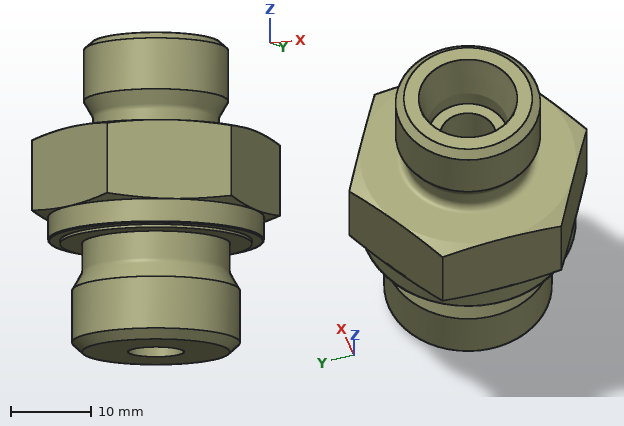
import cadquery as cq
import math

total_height = 39.0
flange_bottom = 14.0
hex_bottom = 17.0
hex_top = 27.0

hex_width = 27.0
flange_diameter = 26.9
flange_edge_chamfer = 0.15
hex_chamfer_angle = 15.0

stud_diameter = 20.95
stud_neck_diameter = 18.4
stud_chamfer_width = 1.3
stud_chamfer_height = 1.17
stud_shoulder_height = 7.72

spigot_diameter = 18.0
spigot_neck_diameter = 15.7
spigot_chamfer_width = 1.0
spigot_chamfer_height = 0.9
spigot_shoulder_height = 31.65

undercut_angle = 30.0
spigot_undercut_radius = 1.0
stud_undercut_radius = 1.17

bore_diameter = 7.0
seat_mouth_diameter = 12.3
seat_floor_diameter = 10.0
seat_half_angle = 12.0
seat_total_depth = 7.5

groove_diameter = 24.0
seal_outer_diameter = 23.9
seal_inner_diameter = 18.5
seal_thickness = 1.5
seal_projection = 0.35
seal_bottom = flange_bottom - seal_projection
seal_top = seal_bottom + seal_thickness


def cylinder(diameter, bottom, top):
    return cq.Workplane("XY").workplane(offset=bottom).circle(diameter / 2).extrude(top - bottom)


def revolve_profile(outline):
    """Turn a closed outline in the XZ plane around the Z axis."""
    return outline.close().revolve(360, (0, 0, 0), (0, 1, 0))


def undercut_points(neck_radius, thread_radius, shoulder_height, toward_neck, undercut_radius):
    """Ends and middle of the arc blending the shoulder cone into the neck, from cone to neck."""
    angle = math.radians(undercut_angle)
    cone_end_radius = neck_radius + undercut_radius * (1 - math.cos(angle))
    cone_height = (thread_radius - cone_end_radius) / math.tan(angle)
    cone_end = shoulder_height + toward_neck * cone_height
    neck_start = cone_end + toward_neck * undercut_radius * math.sin(angle)
    middle_radius = neck_radius + undercut_radius * (1 - math.cos(angle / 2))
    middle_height = neck_start - toward_neck * undercut_radius * math.sin(angle / 2)
    return (cone_end_radius, cone_end), (middle_radius, middle_height), (neck_radius, neck_start)


def make_stud():
    radius = stud_diameter / 2
    neck_radius = stud_neck_diameter / 2
    cone_end, arc_middle, neck_start = undercut_points(
        neck_radius, radius, stud_shoulder_height, 1, stud_undercut_radius
    )
    return revolve_profile(
        cq.Workplane("XZ")
        .moveTo(0, 0)
        .lineTo(radius - stud_chamfer_width, 0)
        .lineTo(radius, stud_chamfer_height)
        .lineTo(radius, stud_shoulder_height)
        .lineTo(*cone_end)
        .threePointArc(arc_middle, neck_start)
        .lineTo(neck_radius, hex_bottom)
        .lineTo(0, hex_bottom)
    )


def make_spigot():
    radius = spigot_diameter / 2
    neck_radius = spigot_neck_diameter / 2
    cone_end, arc_middle, neck_start = undercut_points(
        neck_radius, radius, spigot_shoulder_height, -1, spigot_undercut_radius
    )
    root_arc_offset = spigot_undercut_radius * (1 - math.sqrt(0.5))
    return revolve_profile(
        cq.Workplane("XZ")
        .moveTo(0, total_height)
        .lineTo(radius - spigot_chamfer_width, total_height)
        .lineTo(radius, total_height - spigot_chamfer_height)
        .lineTo(radius, spigot_shoulder_height)
        .lineTo(*cone_end)
        .threePointArc(arc_middle, neck_start)
        .lineTo(neck_radius, hex_top + spigot_undercut_radius)
        .threePointArc(
            (neck_radius + root_arc_offset, hex_top + root_arc_offset),
            (neck_radius + spigot_undercut_radius, hex_top),
        )
        .lineTo(0, hex_top)
    )


def make_hexagon():
    """Hexagon with flats facing X and conical chamfers on its corners at both ends."""
    corner_radius = hex_width / math.sqrt(3)
    face_radius = flange_diameter / 2
    corner_drop = (corner_radius - face_radius) * math.tan(math.radians(hex_chamfer_angle))
    prism = (
        cq.Workplane("XY")
        .workplane(offset=hex_bottom)
        .polygon(6, 2 * corner_radius)
        .extrude(hex_top - hex_bottom)
        .rotate((0, 0, 0), (0, 0, 1), 90)
    )
    chamfer_envelope = revolve_profile(
        cq.Workplane("XZ")
        .moveTo(0, hex_bottom)
        .lineTo(face_radius, hex_bottom)
        .lineTo(corner_radius, hex_bottom + corner_drop)
        .lineTo(corner_radius, hex_top - corner_drop)
        .lineTo(face_radius, hex_top)
        .lineTo(0, hex_top)
    )
    return prism.intersect(chamfer_envelope)


def make_flange():
    """Round flange below the hexagon, with the sealing groove open at its underside."""
    flange = cylinder(flange_diameter, flange_bottom, hex_bottom)
    flange = flange.faces("<Z").edges().chamfer(flange_edge_chamfer)
    return flange.cut(cylinder(groove_diameter, flange_bottom, seal_top))


def make_bore():
    """Through bore with a tube seat at the upper end, a cone above a short cylinder."""
    mouth_radius = seat_mouth_diameter / 2
    floor_radius = seat_floor_diameter / 2
    cone_depth = (mouth_radius - floor_radius) / math.tan(math.radians(seat_half_angle))
    cone_bottom = total_height - cone_depth
    seat_floor = total_height - seat_total_depth
    return revolve_profile(
        cq.Workplane("XZ")
        .moveTo(0, 0)
        .lineTo(bore_diameter / 2, 0)
        .lineTo(bore_diameter / 2, seat_floor)
        .lineTo(floor_radius, seat_floor)
        .lineTo(floor_radius, cone_bottom)
        .lineTo(mouth_radius, total_height)
        .lineTo(0, total_height)
    )


def make_fitting():
    body = make_hexagon().union(make_flange()).union(make_stud()).union(make_spigot())
    return body.cut(make_bore())


def make_seal_ring():
    ring = cylinder(seal_outer_diameter, seal_bottom, seal_top)
    return ring.cut(cylinder(seal_inner_diameter, seal_bottom, seal_top))


fitting = make_fitting()
seal_ring = make_seal_ring()

result = cq.Compound.makeCompound([fitting.val(), seal_ring.val()])